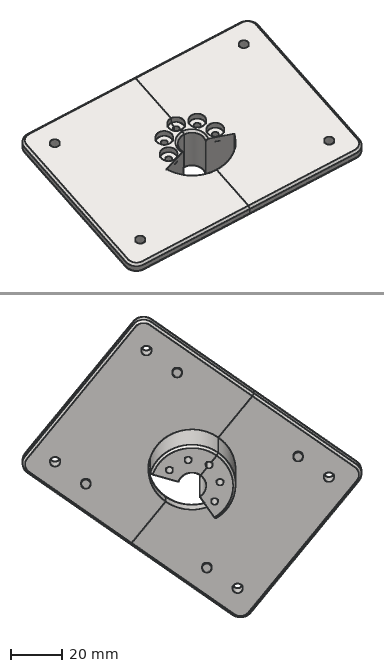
import cadquery as cq
import math

plate_x = 80.0
plate_y = 110.0
plate_thickness = 5.0
corner_radius = 5.0
plate_chamfer = 1.0

boss_radius = 17.0
boss_height = 16.0
boss_chamfer = 1.0
opening_half_angle = 70.0
bore_radius = 5.5
bore_chamfer = 1.0

screw_circle_radius = 11.0
screw_angle_step = 45.0
screw_count = 5
screw_diameter = 2.75
counterbore_diameter = 7.0
counterbore_depth = 3.0

mount_spacing_x = 59.0
mount_spacing_y = 89.0
mount_hole_diameter = 4.0

peg_spacing = 59.0
peg_diameter = 3.8
peg_height = 1.0

plate_bottom = -plate_thickness
total_height = plate_thickness + boss_height
boss_bottom = -total_height


def polar_point(radius, angle):
    radians = math.radians(angle)
    return (radius * math.cos(radians), radius * math.sin(radians))


def level(z):
    return cq.Workplane("XY").workplane(offset=z)


def make_plate():
    plate = level(plate_bottom).rect(plate_x, plate_y).extrude(plate_thickness)
    plate = plate.edges("|Z").fillet(corner_radius)
    return plate.faces("<Z or >Z").edges().chamfer(plate_chamfer)


def make_boss():
    boss = level(boss_bottom).circle(boss_radius).extrude(boss_height)
    return boss.faces("<Z").edges().chamfer(boss_chamfer)


def make_pegs():
    corners = level(plate_bottom).rect(peg_spacing, peg_spacing, forConstruction=True).vertices()
    return corners.circle(peg_diameter / 2).extrude(-peg_height)


def make_opening():
    """Wedge from the axis out to the boss radius, through the whole height."""
    return (
        level(boss_bottom)
        .moveTo(0, 0)
        .lineTo(*polar_point(boss_radius, -opening_half_angle))
        .threePointArc((boss_radius, 0), polar_point(boss_radius, opening_half_angle))
        .close()
        .extrude(total_height)
    )


def make_bore():
    """Through bore that flares at the plate's top face."""
    bore = level(boss_bottom).circle(bore_radius).extrude(total_height)
    flare = cq.Solid.makeCone(
        bore_radius, bore_radius + bore_chamfer, bore_chamfer, pnt=cq.Vector(0, 0, -bore_chamfer)
    )
    return bore.union(cq.Workplane(obj=flare))


def make_screw_holes():
    """Counterbored holes on an arc centred on the -X direction."""
    first_angle = 180 - screw_angle_step * (screw_count - 1) / 2
    centres = [polar_point(screw_circle_radius, first_angle + i * screw_angle_step) for i in range(screw_count)]
    shafts = level(boss_bottom).pushPoints(centres).circle(screw_diameter / 2).extrude(total_height)
    recesses = level(0).pushPoints(centres).circle(counterbore_diameter / 2).extrude(-counterbore_depth)
    return shafts.union(recesses)


def make_mount_holes():
    corners = level(plate_bottom).rect(mount_spacing_x, mount_spacing_y, forConstruction=True).vertices()
    return corners.circle(mount_hole_diameter / 2).extrude(plate_thickness)


def make_full_shape():
    shape = make_plate().union(make_boss()).union(make_pegs())
    for cutter in (make_opening(), make_bore(), make_screw_holes(), make_mount_holes()):
        shape = shape.cut(cutter)
    return shape


def make_half(shape, side):
    """The part of the shape on one side of the Y = 0 joint; side is -1 or +1."""
    half_width = plate_y / 2
    keep = level(boss_bottom).center(0, side * half_width / 2).rect(plate_x, half_width).extrude(total_height)
    return shape.intersect(keep)


full_shape = make_full_shape()
halves = [make_half(full_shape, side) for side in (-1, 1)]

result = cq.Compound.makeCompound([half.solids().val() for half in halves])